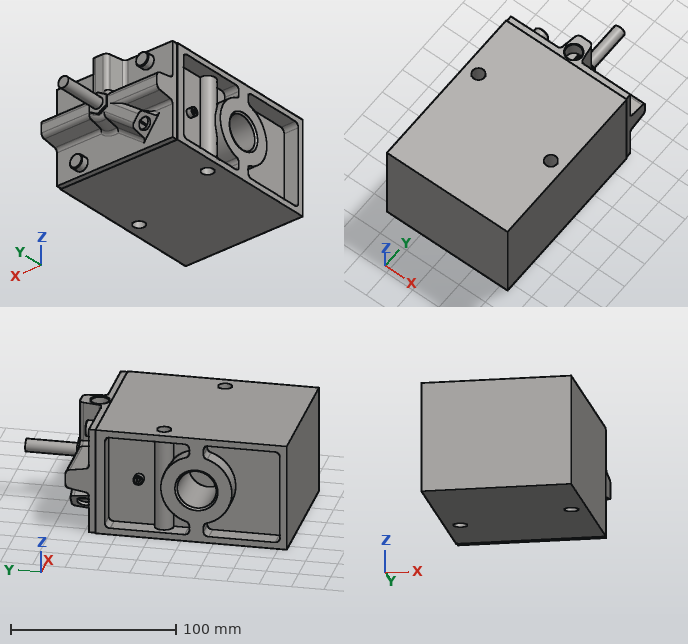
import cadquery as cq

block_width = 92.0
block_height = 68.0
block_length = 118.3
total_length = 171.0

cover_side_inset = 0.5
cover_top_inset = 0.2
cover_back = 122.5
cover_width = block_width - 2 * cover_side_inset
cover_height = block_height - 2 * cover_top_inset

pick_margin = 0.2

ridge_back = 137.1
ridge_base_half = 8.0
ridge_top_half = 5.6
hub_margin = 4.6
ridge_root_radius = 2.5
ridge_top_radius = 3.0
short_ridge_angle = 36.0
short_ridge_length = 35.9

upper_port_y = 125.5
upper_port_diameter = 11.0
upper_port_rim = 0.5
upper_port_depth = 10.3
short_port_y = 129.0
short_port_diameter = 8.5
short_port_depth = 2.2
driver_slot_width = 0.9
driver_slot_depth = 0.5

cable_diameter = 8.0
nut_flats = 13.2
nut_back = 138.5
nut_seat = 1.7

screw_offset = 26.0
screw_diameter = 10.0
screw_back = 128.0
screw_chamfer = 0.5

wall = 4.3
recess_depth = 11.1
recess_back = 112.5
recess_corner_radius = 3.0
bore_y = 56.0
bore_diameter = 24.1
bore_chamfer = 1.2
bore_depth = 34.2
ring_diameter = 44.0
web_width = 8.7

hole_diameter = 8.5
hole_x = 36.0
left_hole_y = 78.0
tube_diameter = 11.6

pin_y = 93.5
pin_diameter = 6.0
pin_length = 3.8
pin_socket_diameter = 2.4
pin_socket_depth = 1.7
pin_rim_diameter = 5.0
pin_rim_depth = 0.3

left_face = -block_width / 2
recess_floor = left_face + recess_depth


def rod_y(diameter, start, end, x=0, z=0):
    """Round bar along Y."""
    plane = cq.Workplane("XZ", origin=(x, start, z))
    return plane.circle(diameter / 2).extrude(start - end)


def rod_x(diameter, start, end, y):
    """Round bar along X at mid height."""
    return cq.Workplane("YZ", origin=(start, y, 0)).circle(diameter / 2).extrude(end - start)


def make_recess():
    """Rounded pocket volume around the bore ring and its webs."""
    recess_length = recess_back - wall
    recess_height = block_height - 2 * wall
    plane = cq.Workplane("YZ", origin=(left_face, 0, 0))
    pocket = plane.center(wall + recess_length / 2, 0).rect(recess_length, recess_height)
    pocket = pocket.extrude(recess_depth)
    web = plane.center(bore_y, 0).rect(web_width, block_height).extrude(recess_depth)
    ring = rod_x(ring_diameter, left_face, recess_floor, bore_y)
    return pocket.cut(web).cut(ring).edges("|X").fillet(recess_corner_radius)


def make_block():
    """Block with side recess, bore, tube, pin and mounting holes."""
    block = cq.Workplane("XY").box(block_width, block_length, block_height, centered=(True, False, True))
    block = block.cut(make_recess())

    tube_height = block_height - 2 * wall
    tube = cq.Workplane("XY").center(-hole_x, left_hole_y).circle(tube_diameter / 2)
    block = block.union(tube.extrude(tube_height / 2, both=True))

    bore = rod_x(bore_diameter, left_face, left_face + bore_depth, bore_y)
    flare = cq.Workplane("YZ", origin=(left_face, bore_y, 0)).circle(bore_diameter / 2 + bore_chamfer)
    flare = flare.workplane(offset=bore_chamfer).circle(bore_diameter / 2).loft()
    block = block.cut(bore).cut(flare)

    pin_end = recess_floor - pin_length
    pin = rod_x(pin_diameter, pin_end, recess_floor, pin_y)
    socket = rod_x(pin_socket_diameter, pin_end, pin_end + pin_socket_depth, pin_y)
    rim = rod_x(pin_rim_diameter, pin_end, pin_end + pin_rim_depth, pin_y)
    block = block.union(pin.cut(socket).cut(rim))

    hole_places = [(-hole_x, left_hole_y), (hole_x, bore_y)]
    holes = cq.Workplane("XY").pushPoints(hole_places).circle(hole_diameter / 2)
    return block.cut(holes.extrude(block_height, both=True))


def make_ridge(length):
    """Tapered ridge from the hub axis up to +Z, with rounded crest and root."""
    foot_half = ridge_base_half + 2 * ridge_root_radius
    outline = [
        (-foot_half, block_length),
        (-foot_half, cover_back),
        (-ridge_base_half, cover_back),
        (-ridge_top_half, ridge_back),
        (ridge_top_half, ridge_back),
        (ridge_base_half, cover_back),
        (foot_half, cover_back),
        (foot_half, block_length),
    ]
    ridge = cq.Workplane("XY").polyline(outline).close().extrude(length)
    ridge = ridge.edges("|Z and >Y").fillet(ridge_top_radius)
    root_edges = cq.selectors.BoxSelector(
        (-ridge_base_half - pick_margin, cover_back - pick_margin, 0),
        (ridge_base_half + pick_margin, cover_back + pick_margin, length),
    )
    return ridge.edges("|Z").edges(root_edges).fillet(ridge_root_radius)


def make_port(y, diameter, depth, end):
    """Port volume sunk into a ridge that ends at the given Z, with a driver slot in its floor."""
    floor = end - depth
    port = cq.Workplane("XY", origin=(0, y, floor)).circle(diameter / 2).extrude(depth)
    slot = cq.Workplane("XY", origin=(0, y, floor)).rect(driver_slot_width, diameter)
    slot = slot.extrude(-driver_slot_depth)
    slot = slot.intersect(port.translate((0, 0, -depth)))
    return port.union(slot)


def turn(shape, angle):
    """Turn a shape about the cable axis, from up (+Z) toward -X."""
    return shape.rotate((0, 0, 0), (0, 1, 0), -angle)


def make_hub():
    """Tapered round hub under the cable nut."""
    base = ridge_base_half + hub_margin
    top = ridge_top_half + hub_margin
    foot = base + 2 * ridge_root_radius
    outline = [
        (0, block_length),
        (foot, block_length),
        (foot, cover_back),
        (base, cover_back),
        (top, ridge_back),
        (0, ridge_back),
    ]
    hub = cq.Workplane("XY").polyline(outline).close().revolve(360, (0, 0, 0), (0, 1, 0))
    hub = hub.edges(">Y").fillet(ridge_top_radius)
    root_edge = cq.selectors.BoxSelector(
        (-base - pick_margin, cover_back - pick_margin, -base - pick_margin),
        (base + pick_margin, cover_back + pick_margin, base + pick_margin),
        boundingbox=True,
    )
    return hub.edges(root_edge).fillet(ridge_root_radius)


def make_cover():
    """Cover plate with hub, ridges, ports, screws and cable."""
    cover = cq.Workplane("XZ", origin=(0, block_length, 0)).rect(cover_width, cover_height)
    cover = cover.extrude(block_length - cover_back)
    cover = cover.union(make_hub())

    cover = cover.union(make_ridge(cover_height / 2))
    for angle in (90, -90):
        cover = cover.union(turn(make_ridge(cover_width / 2), angle))
    short_angle = 90 + short_ridge_angle
    cover = cover.union(turn(make_ridge(short_ridge_length), short_angle))

    upper_end = cover_height / 2
    upper_port = make_port(upper_port_y, upper_port_diameter, upper_port_depth, upper_end)
    upper_radius = upper_port_diameter / 2
    rim = cq.Workplane("XY", origin=(0, upper_port_y, upper_end)).circle(upper_radius + upper_port_rim)
    rim = rim.workplane(offset=-upper_port_rim).circle(upper_radius).loft()
    short_port = make_port(short_port_y, short_port_diameter, short_port_depth, short_ridge_length)
    cover = cover.cut(upper_port).cut(rim).cut(turn(short_port, short_angle))

    for side in (-1, 1):
        screw = rod_y(screw_diameter, block_length, screw_back, side * screw_offset, -side * screw_offset)
        cover = cover.union(screw.faces(">Y").chamfer(screw_chamfer))

    nut_front = ridge_back - nut_seat
    nut = cq.Workplane("XZ", origin=(0, nut_front, 0))
    nut = nut.polygon(6, nut_flats, circumscribed=True).extrude(nut_front - nut_back)
    return cover.union(nut).union(rod_y(cable_diameter, ridge_back, total_length))


result = make_block().union(make_cover())